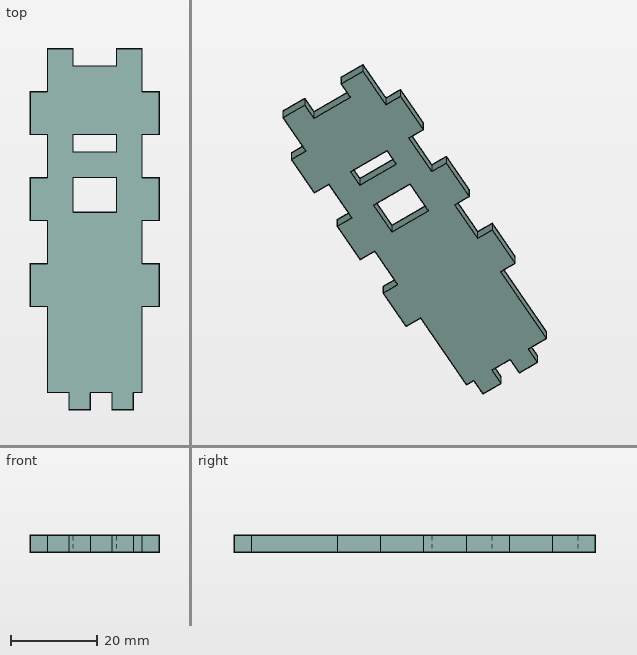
import cadquery as cq

thickness = 4.0
tab_reach = thickness

body_width = 22.0
body_length = 80.0

side_tab_length = 10.0
side_tab_pitch = 20.0
side_tab_count = 3
first_side_tab_start = 20.0

end_tab_width = 5.0
end_tab_starts = (-6.0, 4.0)

opening_width = 10.0
slot_start = 56.0
window_start = 42.0
window_length = 8.0


def plate(x_start, y_start, width, length):
    """Full-thickness rectangular block placed by its lower left corner."""
    block = cq.Workplane("XY").box(width, length, thickness, centered=False)
    return block.translate((x_start, y_start, 0))


def add_side_tabs(panel):
    """Bars across the body whose ends stand out as tabs on both sides."""
    bar_width = body_width + 2 * tab_reach
    for index in range(side_tab_count):
        y_start = first_side_tab_start + index * side_tab_pitch
        panel = panel.union(plate(-bar_width / 2, y_start, bar_width, side_tab_length))
    return panel


def add_end_tabs(panel):
    """Two tabs, off centre, below the lower edge of the body."""
    for x_start in end_tab_starts:
        panel = panel.union(plate(x_start, -tab_reach, end_tab_width, tab_reach))
    return panel


def cut_opening(panel, y_start, length):
    """Through opening centred on the panel's width."""
    return panel.cut(plate(-opening_width / 2, y_start, opening_width, length))


panel = plate(-body_width / 2, 0, body_width, body_length)
panel = add_side_tabs(panel)
panel = add_end_tabs(panel)
panel = cut_opening(panel, body_length - tab_reach, tab_reach)
panel = cut_opening(panel, slot_start, tab_reach)
panel = cut_opening(panel, window_start, window_length)

result = panel